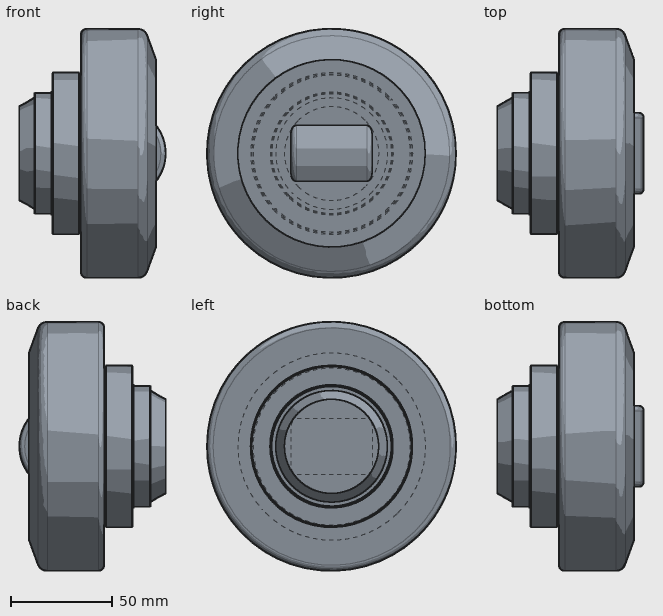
import cadquery as cq
import math

pin_start = 7.5
pin_end = 15.7
collar_start = 16.2
collar_end = 29.9
wheel_start = 30.4
wheel_end = 67.5
total_length = 72.3

pin_tip_radius = 23.2
pin_taper_radius = 27.5
pin_radius = 29.9
pin_seat_radius = 30.4
pin_chamfer = 0.4
collar_radius = 40.0
collar_chamfer = 0.6
neck_radius = 38.7

wheel_radius = 61.5
wheel_back_fillet = 3.0
wheel_front_fillet = 5.0
wheel_face_radius = 46.2
wheel_taper_angle = 20.0
rim_margin = 1.2

side_roller_radius = 22.1
side_roller_length = 40.1
side_roller_fillet = 2.6


def cylinder_along_x(start, end, radius):
    return cq.Workplane("YZ").workplane(offset=start).circle(radius).extrude(end - start)


def make_pin():
    taper_profile = [
        (0, 0),
        (0, pin_tip_radius),
        (pin_start, pin_taper_radius),
        (pin_start, 0),
    ]
    taper = cq.Workplane("XY").polyline(taper_profile).close().revolve(360, (0, 0, 0), (1, 0, 0))
    body = cylinder_along_x(pin_start, pin_end, pin_radius).faces("<X").chamfer(pin_chamfer)
    seat = cylinder_along_x(pin_end, collar_start, pin_seat_radius)
    return taper.union(body).union(seat)


def make_collar():
    collar = cylinder_along_x(collar_start, collar_end, collar_radius)
    collar = collar.faces("<X or >X").chamfer(collar_chamfer)
    neck = cylinder_along_x(collar_end, wheel_start, neck_radius)
    return collar.union(neck)


def make_wheel():
    taper_height = wheel_radius - wheel_face_radius
    taper_depth = taper_height * math.tan(math.radians(wheel_taper_angle))
    wheel = cylinder_along_x(wheel_start, wheel_end, wheel_radius)
    wheel = wheel.faces("<X").edges().fillet(wheel_back_fillet)
    wheel = wheel.faces(">X").edges().chamfer(taper_depth, taper_height)
    rim_box = cq.selectors.BoxSelector(
        (wheel_end - taper_depth - rim_margin, -wheel_radius, -wheel_radius),
        (wheel_end - taper_depth + rim_margin, wheel_radius, wheel_radius),
    )
    return wheel.edges(rim_box).fillet(wheel_front_fillet)


def make_side_roller():
    roller = (
        cq.Workplane("XZ")
        .center(total_length - side_roller_radius, 0)
        .circle(side_roller_radius)
        .extrude(side_roller_length / 2, both=True)
    )
    return roller.faces("<Y or >Y").edges().fillet(side_roller_fillet)


result = make_pin().union(make_collar()).union(make_wheel()).union(make_side_roller())